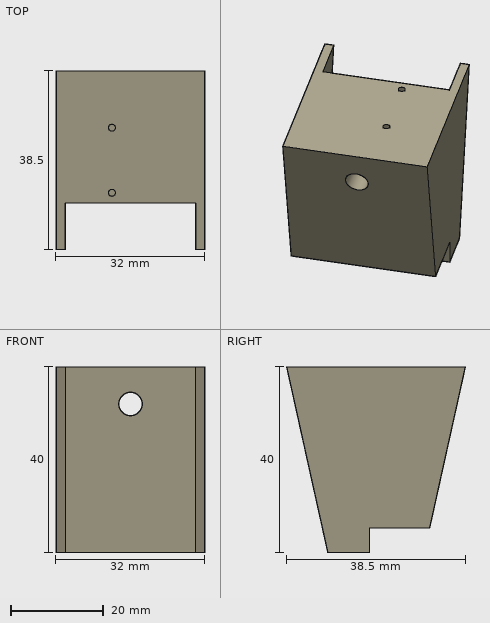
import cadquery as cq
import math

width = 32.0
depth = 38.5
height = 40.0

lean_angle = 12.5

notch_height = 5.3
notch_front_y = 17.9

cheek_thickness = 2.0
channel_depth = 10.0

cross_hole_diameter = 5.0
cross_hole_drop = 8.0

pin_diameter = 1.5
pin_depth = 10.0
pin_x = -4.0
front_pin_y = 12.25
pin_spacing = 14.0
back_pin_y = front_pin_y + pin_spacing


def inset_at(drop):
    """Inward shift of a leaning edge at a given distance below the top."""
    return drop * math.tan(math.radians(lean_angle))


def make_body():
    """Side profile in the YZ plane, extruded across the full width."""
    profile = [
        (0, height),
        (depth, height),
        (depth - inset_at(height - notch_height), notch_height),
        (notch_front_y, notch_height),
        (notch_front_y, 0),
        (inset_at(height), 0),
    ]
    return cq.Workplane("YZ").polyline(profile).close().extrude(width / 2, both=True)


def make_channel():
    """Full-height block that opens the front between the cheeks."""
    channel_width = width - 2 * cheek_thickness
    return cq.Workplane("XY").box(
        channel_width, channel_depth, height, centered=(True, False, False)
    )


def make_cross_hole():
    """Cylinder along Y through the whole block."""
    return (
        cq.Workplane("XZ")
        .center(0, height - cross_hole_drop)
        .circle(cross_hole_diameter / 2)
        .extrude(-depth)
    )


def make_pin_holes():
    """Two cylinders in line along Y, sunk from the top face."""
    pin_centers = [(pin_x, front_pin_y), (pin_x, back_pin_y)]
    return (
        cq.Workplane("XY", origin=(0, 0, height))
        .pushPoints(pin_centers)
        .circle(pin_diameter / 2)
        .extrude(-pin_depth)
    )


result = (
    make_body()
    .cut(make_channel())
    .cut(make_cross_hole())
    .cut(make_pin_holes())
)